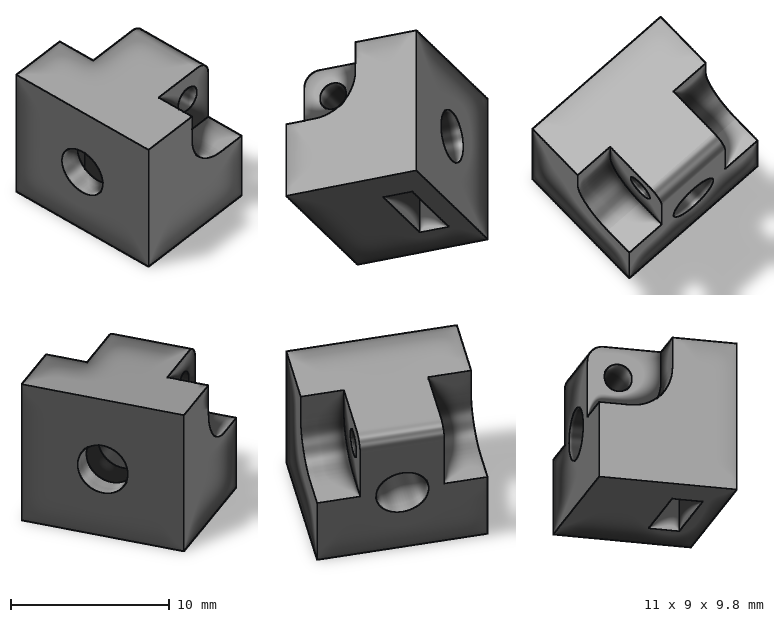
import cadquery as cq

width = 11.0
depth = 9.0
height = 9.8

pin_diameter = 1.8
pin_inset = 2.0
knuckle_width = 5.43
knuckle_round = 1.06
clearance_radius = 2.79

screw_diameter = 3.4
screw_height = 4.8
nut_slot_width = 5.61
nut_slot_front = 1.5
nut_slot_thickness = 2.0

pin_y = depth - pin_inset
pin_z = height - pin_inset
notch_size = pin_inset + clearance_radius
notch_width = (width - knuckle_width) / 2


def block():
    """Solid block with the upper rear edge rounded."""
    body = cq.Workplane("XY").box(width, depth, height, centered=(True, False, False))
    return body.faces(">Y").edges(">Z").fillet(knuckle_round)


def knuckle_notch(side):
    """Corner cut beside the knuckle, its inner corner concentric with the pin."""
    cutter = (
        cq.Workplane("XY")
        .box(notch_width, notch_size, notch_size, centered=(True, False, False))
        .faces("<Y").edges("<Z").fillet(clearance_radius)
    )
    center_x = side * (knuckle_width + notch_width) / 2
    return cutter.translate((center_x, depth - notch_size, height - notch_size))


def pin_hole():
    """Bore along X through the knuckle."""
    return (
        cq.Workplane("YZ")
        .center(pin_y, pin_z)
        .circle(pin_diameter / 2)
        .extrude(width / 2, both=True)
    )


def screw_hole():
    """Bore along Y through the whole block."""
    return (
        cq.Workplane("XZ")
        .center(0, screw_height)
        .circle(screw_diameter / 2)
        .extrude(-depth)
    )


def nut_slot():
    """Slot open at the underside, reaching half a nut width above the screw axis."""
    slot_height = screw_height + nut_slot_width / 2
    slot = cq.Workplane("XY").box(
        nut_slot_width, nut_slot_thickness, slot_height, centered=(True, False, False)
    )
    return slot.translate((0, nut_slot_front, 0))


result = block()
for side in (-1, 1):
    result = result.cut(knuckle_notch(side))
result = result.cut(pin_hole()).cut(screw_hole()).cut(nut_slot())